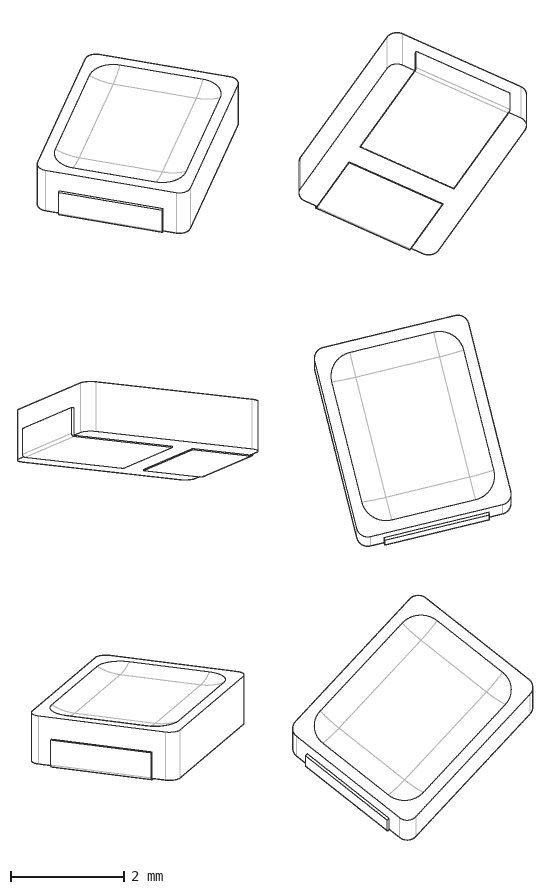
import cadquery as cq
import math

overall_length = 3.6
body_width = 2.8
body_height = 0.9
body_corner_radius = 0.2

rim_width = 0.2
dish_depth = 0.1
dish_wall_radius = 1.0

lead_width = 1.9
lead_height = 0.52
lead_protrusion = 0.05
lead_bottom_thickness = 0.02
lead_edge_radius = 0.05
long_pad_length = 2.0
short_pad_length = 1.2

body_length = overall_length - 2 * lead_protrusion
total_height = body_height + lead_bottom_thickness
floor_z = total_height - dish_depth
wall_run = math.sqrt(dish_wall_radius**2 - (dish_wall_radius - dish_depth) ** 2)
floor_width = body_width - 2 * (rim_width + wall_run)
floor_length = body_length - 2 * (rim_width + wall_run)


def wall_midpoint(start):
    """Middle of the wall arc whose foot is at the given distance."""
    half_angle = math.asin(wall_run / dish_wall_radius) / 2
    return (
        start + dish_wall_radius * math.sin(half_angle),
        floor_z + dish_wall_radius * (1 - math.cos(half_angle)),
    )


def dish_band(plane, floor_span, band_length):
    """Straight stretch of the dish, with a curved wall on both sides."""
    half_floor = floor_span / 2
    half_rim = half_floor + wall_run
    mid_u, mid_z = wall_midpoint(half_floor)
    return (
        cq.Workplane(plane)
        .moveTo(-half_floor, floor_z)
        .lineTo(half_floor, floor_z)
        .threePointArc((mid_u, mid_z), (half_rim, total_height))
        .lineTo(-half_rim, total_height)
        .threePointArc((-mid_u, mid_z), (-half_floor, floor_z))
        .close()
        .extrude(band_length / 2, both=True)
    )


def dish_corner(turn):
    """Quarter of a spherical cap that rounds the +X +Y corner, turned about Z."""
    return (
        cq.Workplane("XZ")
        .moveTo(0, floor_z)
        .threePointArc(wall_midpoint(0), (wall_run, total_height))
        .lineTo(0, total_height)
        .close()
        .revolve(90, (0, 0, 0), (0, 1, 0))
        .rotate((0, 0, 0), (0, 0, 1), turn)
    )


def dish():
    shape = dish_band("XZ", floor_width, floor_length)
    shape = shape.union(dish_band("YZ", floor_length, floor_width))
    corner_sides = ((1, 1), (-1, 1), (-1, -1), (1, -1))
    for index, (x_side, y_side) in enumerate(corner_sides):
        corner_position = (x_side * floor_width / 2, y_side * floor_length / 2, 0)
        shape = shape.union(dish_corner(90 * index).translate(corner_position))
    return shape


def lead(side, pad_length):
    """L-shaped lead: a tab on the end face and a pad under the body."""
    outer_y = side * overall_length / 2
    body_y = side * body_length / 2
    pad_end_y = outer_y - side * pad_length
    return (
        cq.Workplane("YZ")
        .moveTo(outer_y, 0)
        .lineTo(outer_y, lead_height)
        .lineTo(body_y, lead_height)
        .lineTo(body_y, lead_bottom_thickness)
        .lineTo(pad_end_y, lead_bottom_thickness)
        .lineTo(pad_end_y, 0)
        .close()
        .extrude(lead_width / 2, both=True)
        .edges(cq.NearestToPointSelector((0, outer_y, 0)))
        .fillet(lead_edge_radius)
    )


body = (
    cq.Workplane("XY", origin=(0, 0, lead_bottom_thickness))
    .rect(body_width, body_length)
    .extrude(body_height)
    .edges("|Z")
    .fillet(body_corner_radius)
)

result = (
    body.cut(dish())
    .union(lead(1, long_pad_length))
    .union(lead(-1, short_pad_length))
)